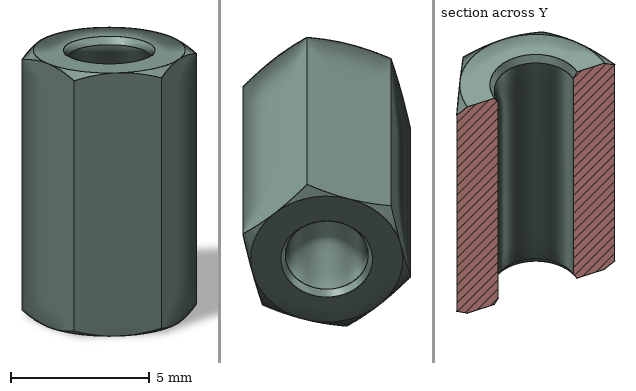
import cadquery as cq
import math

length = 10.0
across_flats = 5.51
bore_diameter = 3.0
countersink_diameter = 3.32
countersink_depth = 0.27
corner_chamfer_angle = 30.0

across_corners = across_flats / math.cos(math.radians(30))
face_radius = across_flats / 2
corner_radius = across_corners / 2
chamfer_height = (corner_radius - face_radius) * math.tan(math.radians(corner_chamfer_angle))
bore_radius = bore_diameter / 2
countersink_radius = countersink_diameter / 2

hexagon = cq.Workplane("XY").polygon(6, across_corners).extrude(length)

turned_envelope = (
    cq.Workplane("XZ")
    .moveTo(bore_radius, countersink_depth)
    .lineTo(countersink_radius, 0)
    .lineTo(face_radius, 0)
    .lineTo(corner_radius, chamfer_height)
    .lineTo(corner_radius, length - chamfer_height)
    .lineTo(face_radius, length)
    .lineTo(countersink_radius, length)
    .lineTo(bore_radius, length - countersink_depth)
    .close()
    .revolve(360, (0, 0, 0), (0, 1, 0))
)

result = hexagon.intersect(turned_envelope)